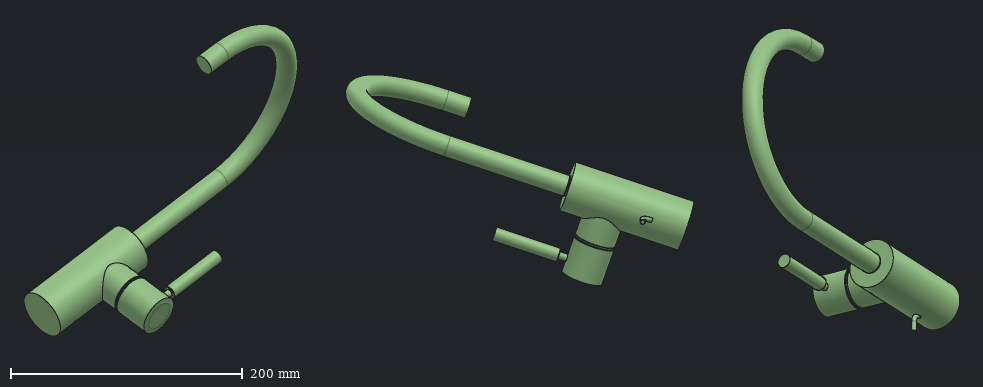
import cadquery as cq
import math


overall_width = 95.57
overall_length = 310.2
overall_height = 213.7

housing_radius = 22.25
housing_length = 108.0
arm_radius = 18.25
arm_y = 69.75
arm_end_x = 37.9
joint_chamfer = 0.6

ring_setback = 0.9
ring_radius = arm_radius - ring_setback
ring_width = 1.4

handle_inner_radius = 18.5
handle_outer_radius = 18.4
handle_tip_x = overall_width - housing_radius
end_face_radius = 13.0
bevel_depth = 0.6
handle_start_x = arm_end_x + ring_width
handle_rim_x = handle_tip_x - bevel_depth

lever_x = 60.3
lever_z = -0.6
neck_radius = 3.5
neck_depth = 4.0
grip_radius = 6.3
grip_length = 58.8
grip_start_y = 95.3
grip_edge = 0.5

spout_radius = 9.5
bend_radius = 82.5
bend_angle = math.radians(179.0)
collar_setback = 0.2
collar_radius = spout_radius - collar_setback
collar_length = 1.0
outlet_length = 21.0
bend_start_y = overall_length - bend_radius - spout_radius
spout_start_y = housing_length + collar_length
bend_end_y = bend_start_y + bend_radius * math.sin(bend_angle)
bend_end_z = bend_radius * (1 - math.cos(bend_angle))
outlet_y = bend_end_y + outlet_length * math.cos(bend_angle)
outlet_z = bend_end_z + outlet_length * math.sin(bend_angle)
spout_top_z = outlet_z - spout_radius * math.cos(bend_angle)

hook_radius = 2.2
hook_y = 39.2
hook_bend_radius = 8.5
hook_bend_z = -29.7
hook_bottom_z = spout_top_z - overall_height
hook_edge = 0.5


def rod_y(radius, start_y, length, x=0.0, z=0.0):
    """Round bar along +Y."""
    plane = cq.Plane(origin=(x, start_y, z), xDir=(1, 0, 0), normal=(0, 1, 0))
    return cq.Workplane(plane).circle(radius).extrude(length)


def rod_x(radius, start_x, length):
    """Round bar along +X on the arm axis."""
    plane = cq.Plane(origin=(start_x, arm_y, 0), xDir=(0, 1, 0), normal=(1, 0, 0))
    return cq.Workplane(plane).circle(radius).extrude(length)


def make_hook():
    bend_mid = hook_bend_radius * math.sqrt(0.5)
    bend_centre_y = hook_y - hook_bend_radius
    path = (
        cq.Workplane("YZ")
        .moveTo(hook_y, hook_bottom_z)
        .lineTo(hook_y, hook_bend_z)
        .threePointArc(
            (bend_centre_y + bend_mid, hook_bend_z + bend_mid),
            (bend_centre_y, hook_bend_z + hook_bend_radius),
        )
    )
    hook = cq.Workplane("XY", origin=(0, hook_y, hook_bottom_z)).circle(hook_radius).sweep(path)
    return hook.faces("<Z").edges().chamfer(hook_edge)


def make_housing(hook):
    arm = rod_x(arm_radius, 0, arm_end_x).faces(">X").chamfer(joint_chamfer)
    return rod_y(housing_radius, 0, housing_length).union(arm).cut(hook)


def make_spout():
    middle_angle = bend_angle / 2
    bend_middle_y = bend_start_y + bend_radius * math.sin(middle_angle)
    bend_middle_z = bend_radius * (1 - math.cos(middle_angle))
    path = (
        cq.Workplane("YZ")
        .moveTo(spout_start_y, 0)
        .lineTo(bend_start_y, 0)
        .threePointArc((bend_middle_y, bend_middle_z), (bend_end_y, bend_end_z))
        .lineTo(outlet_y, outlet_z)
    )
    return cq.Workplane("XZ", origin=(0, spout_start_y, 0)).circle(spout_radius).sweep(path)


def make_neck():
    start_y = arm_y + handle_outer_radius - neck_depth
    return rod_y(neck_radius, start_y, grip_start_y - start_y, lever_x, lever_z)


def make_handle(neck):
    handle = (
        cq.Workplane("XY")
        .moveTo(handle_start_x, 0)
        .lineTo(handle_start_x, handle_inner_radius - joint_chamfer)
        .lineTo(handle_start_x + joint_chamfer, handle_inner_radius)
        .lineTo(handle_rim_x, handle_outer_radius)
        .lineTo(handle_tip_x, end_face_radius)
        .lineTo(handle_tip_x, 0)
        .close()
        .revolve(360, (0, 0, 0), (1, 0, 0))
        .translate((0, arm_y, 0))
    )
    return handle.cut(neck)


def make_grip():
    grip = rod_y(grip_radius, grip_start_y, grip_length, lever_x, lever_z)
    return grip.faces("<Y").edges().chamfer(grip_edge)


hook = make_hook()
housing = make_housing(hook)
collar = rod_y(collar_radius, housing_length, collar_length)
spout = make_spout()
ring = rod_x(ring_radius, arm_end_x, ring_width)
neck = make_neck()
handle = make_handle(neck)
grip = make_grip()

bodies = [housing, collar, spout, ring, handle, neck, grip, hook]
result = cq.Compound.makeCompound([body.val() for body in bodies])